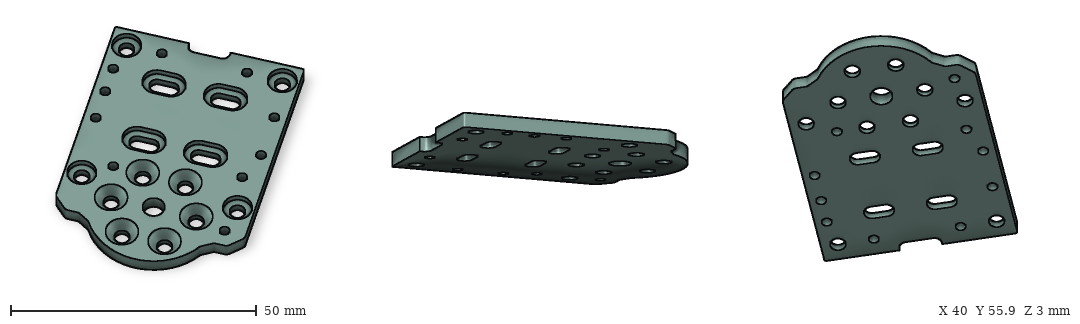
import cadquery as cq
import math

width = 40.0
length = 55.9
thickness = 3.0
shoulder_y = 8.3
shoulder_chamfer = 2.9
nose_radius = 13.8
flare_outer_x = 14.3
flare_inner_x = 11.85
top_corner_radius = 0.5
chamfer_blend = 1.5
flare_blend = 1.0

notch_width = 8.8
notch_depth = 1.95
notch_radius = 1.5

screw_diameter = 3.2
counterbore_diameter = 6.0
counterbore_depth = 1.35
corner_hole_x = 16.46
corner_hole_rows = (18.3, 51.9)

slot_travel = 3.0
slot_x = 6.51
slot_rows = (29.7, 44.65)

bore_diameter = 4.5
ring_radius = 9.0
ring_count = 6
countersink_diameter = 6.7
countersink_angle = 90.0

pin_diameter = 2.05
pin_points = [
    (-9.0, 51.9), (9.0, 51.9),
    (-17.5, 45.45), (-17.5, 39.45), (-17.5, 32.5),
    (17.45, 42.45), (17.45, 32.5),
    (15.25, 26.0), (-10.75, 21.6), (15.55, 11.9),
]

half_width = width / 2
nose_center = (0, nose_radius)


def make_plate():
    flare_inner_y = nose_radius - math.sqrt(nose_radius**2 - flare_inner_x**2)
    chamfer_x = half_width - shoulder_chamfer
    chamfer_y = shoulder_y + shoulder_chamfer
    plate = (
        cq.Workplane("XY")
        .moveTo(-half_width, length)
        .lineTo(-half_width, chamfer_y)
        .lineTo(-chamfer_x, shoulder_y)
        .lineTo(-flare_outer_x, shoulder_y)
        .lineTo(-flare_inner_x, flare_inner_y)
        .threePointArc((0, 0), (flare_inner_x, flare_inner_y))
        .lineTo(flare_outer_x, shoulder_y)
        .lineTo(chamfer_x, shoulder_y)
        .lineTo(half_width, chamfer_y)
        .lineTo(half_width, length)
        .close()
        .extrude(thickness)
    )

    def round_corners(body, x, y, radius):
        points = [(side * x, y, thickness / 2) for side in (-1, 1)]
        for point in points:
            body = body.edges("|Z").edges(cq.NearestToPointSelector(point)).fillet(radius)
        return body

    plate = round_corners(plate, half_width, length, top_corner_radius)
    plate = round_corners(plate, half_width, chamfer_y, chamfer_blend)
    plate = round_corners(plate, chamfer_x, shoulder_y, chamfer_blend)
    plate = round_corners(plate, flare_outer_x, shoulder_y, flare_blend)
    return round_corners(plate, flare_inner_x, flare_inner_y, flare_blend)


def make_notch():
    return (
        cq.Workplane("XY")
        .center(0, length)
        .rect(notch_width, 2 * notch_depth)
        .extrude(thickness)
        .edges("|Z and <Y")
        .fillet(notch_radius)
    )


def cut_counterbored_slots(body):
    points = [(side * slot_x, y) for side in (-1, 1) for y in slot_rows]
    top = body.faces(">Z").workplane(origin=(0, 0, thickness))
    body = top.pushPoints(points).slot2D(slot_travel + screw_diameter, screw_diameter).cutThruAll()
    top = body.faces(">Z").workplane(origin=(0, 0, thickness))
    recess_length = slot_travel + counterbore_diameter
    return top.pushPoints(points).slot2D(recess_length, counterbore_diameter).cutBlind(-counterbore_depth)


def cut_round_holes(body):
    corner_points = [(side * corner_hole_x, y) for side in (-1, 1) for y in corner_hole_rows]
    top = body.faces(">Z").workplane(origin=(0, 0, thickness))
    body = top.pushPoints(corner_points).cboreHole(screw_diameter, counterbore_diameter, counterbore_depth)

    top = body.faces(">Z").workplane(origin=(*nose_center, thickness))
    body = (
        top.polarArray(ring_radius, 0, 360, ring_count)
        .cskHole(screw_diameter, countersink_diameter, countersink_angle)
    )
    top = body.faces(">Z").workplane(origin=(*nose_center, thickness))
    body = top.hole(bore_diameter)

    top = body.faces(">Z").workplane(origin=(0, 0, thickness))
    return top.pushPoints(pin_points).hole(pin_diameter)


result = make_plate().cut(make_notch())
result = cut_counterbored_slots(result)
result = cut_round_holes(result)